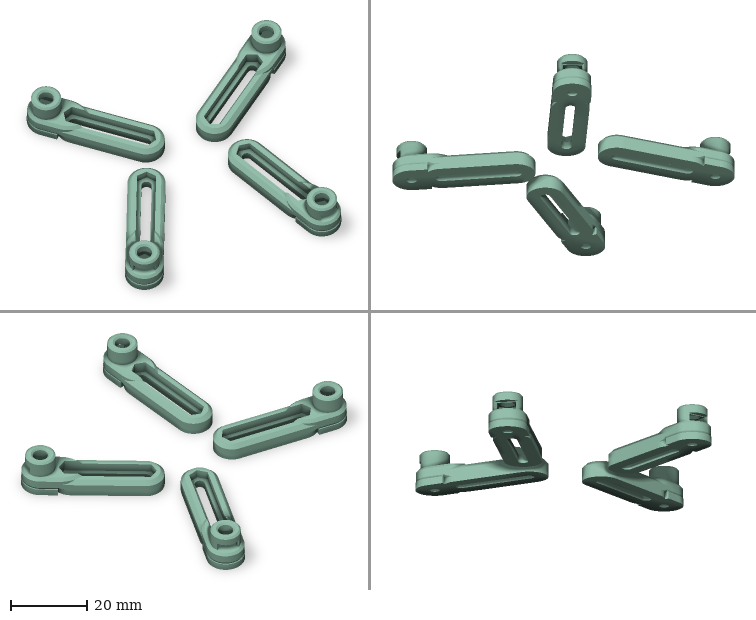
import cadquery as cq
import math

ARM_PLACES = [
    (-28.91, 31.07, -49.4),
    (-28.13, -30.92, 51.0),
    (28.14, 25.79, 205.3),
    (28.82, -24.16, 158.8),
]

ARM_RADIUS = 5.0
ARM_TOP = 4.6
ARM_CHAMFER = 1.1
TIP_X = 27.75

HOLE_DIAMETER = 2.7
SLOT_TRAVEL = 20.0
SLOT_START_X = TIP_X - SLOT_TRAVEL
NUT_WIDTH = 5.0
NUT_CORNER = NUT_WIDTH / math.sqrt(3)
NUT_HEIGHT = 2.4
CHANNEL_FLOOR = ARM_TOP - NUT_HEIGHT

HEAD_END_X = 4.8
PAD_TOP = 5.4
PAD_CHAMFER = PAD_TOP - ARM_TOP
PAD_START_X = 5.1
PAD_FLANK_RADIUS = 8.4
PAD_FLANK_Y = ARM_RADIUS - PAD_FLANK_RADIUS
PAD_NOSE_X = PAD_START_X + math.sqrt(PAD_FLANK_RADIUS**2 - PAD_FLANK_Y**2)

LIP_RADIUS = 5.1
LIP_TOP = 1.9
NECK_TOP = 2.4
NECK_HEIGHT = NECK_TOP - LIP_TOP
NECK_INSET = 0.25

FOOT_X = 8.0
FOOT_TOP = 1.6
FOOT_FLARE = NECK_TOP - FOOT_TOP

BOSS_DIAMETER = 8.0
BOSS_TOP = 10.0
BOSS_CHAMFER = 0.5
BORE_DIAMETER = 4.0
BORE_CHAMFER = 0.5
POCKET_FLOOR = 5.2
POCKET_HEIGHT = 2.2
POCKET_REACH = LIP_RADIUS
MOUTH_HEIGHT = 2.4
MOUTH_INNER_X = -2.1
MOUTH_FLARE = 0.5


def stadium(start_x, end_x, radius, bottom, top):
    """Upright round-ended bar between two centres on the X axis."""
    middle_x = (start_x + end_x) / 2
    length = end_x - start_x + 2 * radius
    plan = cq.Workplane("XY", origin=(middle_x, 0, bottom)).slot2D(length, 2 * radius)
    return plan.extrude(top - bottom)


def head_plan(radius, bottom):
    """Half-round head outline closed by a flat end toward the arm."""
    return (
        cq.Workplane("XY", origin=(0, 0, bottom))
        .moveTo(HEAD_END_X, radius)
        .lineTo(0, radius)
        .threePointArc((-radius, 0), (0, -radius))
        .lineTo(HEAD_END_X, -radius)
        .close()
    )


def make_bar():
    """Upper part of the bar, chamfered along its top edge."""
    bar = stadium(0, TIP_X, ARM_RADIUS, NECK_TOP, ARM_TOP)
    return bar.faces(">Z").edges().chamfer(ARM_CHAMFER)


def make_pad():
    """Round-backed pad whose two flank arcs start tangent to the sides and meet at a nose."""
    nose_angle = math.atan2(-PAD_FLANK_Y, PAD_NOSE_X - PAD_START_X)
    middle_angle = (nose_angle + math.pi / 2) / 2
    middle_x = PAD_START_X + PAD_FLANK_RADIUS * math.cos(middle_angle)
    middle_y = PAD_FLANK_Y + PAD_FLANK_RADIUS * math.sin(middle_angle)
    pad = (
        cq.Workplane("XY", origin=(0, 0, NECK_TOP))
        .moveTo(0, -ARM_RADIUS)
        .lineTo(PAD_START_X, -ARM_RADIUS)
        .threePointArc((middle_x, -middle_y), (PAD_NOSE_X, 0))
        .threePointArc((middle_x, middle_y), (PAD_START_X, ARM_RADIUS))
        .lineTo(0, ARM_RADIUS)
        .threePointArc((-ARM_RADIUS, 0), (0, -ARM_RADIUS))
        .close()
        .extrude(PAD_TOP - NECK_TOP)
    )
    return pad.faces(">Z").edges().chamfer(PAD_CHAMFER)


def make_head_foot():
    """Lip and the neck above it, which narrows downward to the lip."""
    lip = head_plan(LIP_RADIUS, 0).extrude(LIP_TOP)
    neck = stadium(0, TIP_X, ARM_RADIUS, LIP_TOP, ARM_TOP)
    neck = neck.faces("<Z").edges().chamfer(NECK_HEIGHT, NECK_INSET)
    neck_limit = head_plan(LIP_RADIUS, LIP_TOP).extrude(NECK_HEIGHT)
    return lip.union(neck.intersect(neck_limit))


def make_arm_foot():
    """Lower part of the bar with a rounded inner end that flares out toward its top."""
    foot = stadium(FOOT_X, TIP_X, ARM_RADIUS, 0, NECK_TOP)
    flare_radius = ARM_RADIUS + FOOT_FLARE
    flare = cq.Workplane("XY").add(
        cq.Solid.makeCone(ARM_RADIUS, flare_radius, FOOT_FLARE, cq.Vector(FOOT_X, 0, FOOT_TOP))
    )
    flare_limit = stadium(0, TIP_X, ARM_RADIUS, FOOT_TOP, NECK_TOP)
    return foot.union(flare.intersect(flare_limit))


def make_boss():
    boss = cq.Workplane("XY", origin=(0, 0, ARM_TOP)).circle(BOSS_DIAMETER / 2)
    return boss.extrude(BOSS_TOP - ARM_TOP).faces(">Z").edges().chamfer(BOSS_CHAMFER)


def make_slot_cut():
    """Through slot and the nut channel whose ends follow the corners of a hex nut."""
    slot = stadium(SLOT_START_X, TIP_X, HOLE_DIAMETER / 2, 0, PAD_TOP)
    half_width = NUT_WIDTH / 2
    corner = NUT_CORNER / 2
    channel = (
        cq.Workplane("XY", origin=(0, 0, CHANNEL_FLOOR))
        .moveTo(SLOT_START_X - NUT_CORNER, 0)
        .lineTo(SLOT_START_X - corner, half_width)
        .lineTo(TIP_X + corner, half_width)
        .lineTo(TIP_X + NUT_CORNER, 0)
        .lineTo(TIP_X + corner, -half_width)
        .lineTo(SLOT_START_X - corner, -half_width)
        .close()
        .extrude(PAD_TOP - CHANNEL_FLOOR)
    )
    return slot.union(channel)


def make_head_cut():
    """Screw hole, wider chamfered bore, and nut pocket open on the side away from the tip."""
    hole = cq.Workplane("XY").circle(HOLE_DIAMETER / 2).extrude(BOSS_TOP)
    bore = cq.Workplane("XY", origin=(0, 0, POCKET_FLOOR)).circle(BORE_DIAMETER / 2)
    bore = bore.extrude(BOSS_TOP - POCKET_FLOOR)
    mouth_radius = BORE_DIAMETER / 2 + BORE_CHAMFER
    mouth = cq.Workplane("XY").add(
        cq.Solid.makeCone(
            BORE_DIAMETER / 2, mouth_radius, BORE_CHAMFER, cq.Vector(0, 0, BOSS_TOP - BORE_CHAMFER)
        )
    )
    half_width = NUT_WIDTH / 2
    pocket = (
        cq.Workplane("XY", origin=(0, 0, POCKET_FLOOR))
        .moveTo(NUT_CORNER, 0)
        .lineTo(NUT_CORNER / 2, half_width)
        .lineTo(-POCKET_REACH, half_width)
        .lineTo(-POCKET_REACH, -half_width)
        .lineTo(NUT_CORNER / 2, -half_width)
        .close()
        .extrude(POCKET_HEIGHT)
    )
    lead_in = (
        cq.Workplane("XY", origin=(0, 0, POCKET_FLOOR))
        .moveTo(MOUTH_INNER_X, half_width)
        .lineTo(MOUTH_INNER_X - MOUTH_FLARE, half_width + MOUTH_FLARE)
        .lineTo(-POCKET_REACH, half_width + MOUTH_FLARE)
        .lineTo(-POCKET_REACH, -half_width - MOUTH_FLARE)
        .lineTo(MOUTH_INNER_X - MOUTH_FLARE, -half_width - MOUTH_FLARE)
        .lineTo(MOUTH_INNER_X, -half_width)
        .close()
        .extrude(MOUTH_HEIGHT)
    )
    return hole.union(bore).union(mouth).union(pocket).union(lead_in)


def make_arm():
    arm_body = make_bar()
    for part in (make_pad(), make_head_foot(), make_arm_foot(), make_boss()):
        arm_body = arm_body.union(part)
    return arm_body.cut(make_slot_cut()).cut(make_head_cut())


arm = make_arm()
arms = []
for head_x, head_y, direction in ARM_PLACES:
    placed = arm.rotate((0, 0, 0), (0, 0, 1), direction).translate((head_x, head_y, 0))
    arms.append(placed.val())

result = cq.Compound.makeCompound(arms)